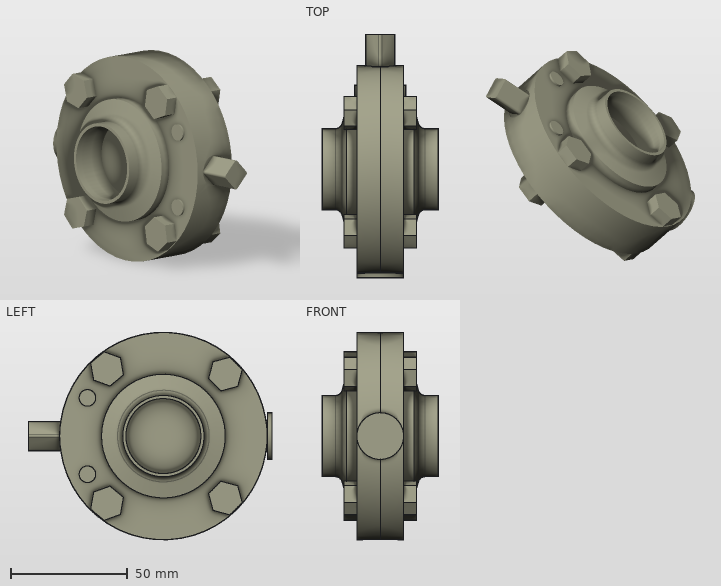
import cadquery as cq
import math


flange_radius = 44.5
flange_thickness = 10.0
hub_radius = 26.5
hub_end = 14.5
cone_angle = math.radians(15)
pipe_radius = 17.5
bore_radius = 16.1
pipe_end = 25.0
neck_fillet = 3.0

bolt_circle_radius = 37.6
bolt_angles = (50, -50, 135, -135)
bolt_head_flats = 13.0
bolt_head_height = 5.5
dowel_radius = 3.6
dowel_circle_radius = 36.5
dowel_angles = (26.7, -26.7)
dowel_height = 0.9

stem_radius = 6.7
drive_flats = 9.5
drive_edge_fillet = 0.99
stem_end = 57.9
square_start = flange_radius - 0.6
cap_radius = flange_thickness
cap_thickness = 2.0
cap_face = 104.5 - stem_end
disc_half_thickness = flange_thickness


def half_body_profile():
    """Half section in X (along the pipe) and Y (radius), as a closed outline."""
    slope = math.tan(cone_angle)
    fillet_radius_level = pipe_radius + neck_fillet
    cone_touch_radius = fillet_radius_level - neck_fillet * math.sin(cone_angle)
    cone_touch_x = hub_end + (hub_radius - cone_touch_radius) * slope
    fillet_centre_x = cone_touch_x + neck_fillet * math.cos(cone_angle)
    middle_angle = (math.pi / 2 + cone_angle) / 2
    fillet_middle = (
        fillet_centre_x - neck_fillet * math.cos(middle_angle),
        fillet_radius_level - neck_fillet * math.sin(middle_angle),
    )
    return (
        cq.Workplane("XY")
        .moveTo(0, bore_radius)
        .lineTo(0, flange_radius)
        .lineTo(flange_thickness, flange_radius)
        .lineTo(flange_thickness, hub_radius)
        .lineTo(hub_end, hub_radius)
        .lineTo(cone_touch_x, cone_touch_radius)
        .threePointArc(fillet_middle, (fillet_centre_x, pipe_radius))
        .lineTo(pipe_end, pipe_radius)
        .lineTo(pipe_end, bore_radius)
        .close()
    )


def place_on_circle(shape, radius, angle):
    """Move a shape out along +Y, then turn it about the pipe axis."""
    return shape.translate((0, radius, 0)).rotate((0, 0, 0), (1, 0, 0), angle)


def bolt_head():
    """Hexagonal head on the flange face, with one flat facing outwards."""
    across_corners = bolt_head_flats / math.cos(math.pi / 6)
    return (
        cq.Workplane("YZ", origin=(flange_thickness, 0, 0))
        .transformed(rotate=(0, 0, 30))
        .polygon(6, across_corners)
        .extrude(bolt_head_height)
    )


def dowel_head():
    return (
        cq.Workplane("YZ", origin=(flange_thickness, 0, 0))
        .circle(dowel_radius)
        .extrude(dowel_height)
    )


def stem_shaft(start, end):
    """Round shaft along Y between two Y positions."""
    return cq.Workplane("XZ", origin=(0, end, 0)).circle(stem_radius).extrude(end - start)


def half_body():
    """The +X half of the valve body, with its half of the stem bore."""
    half = half_body_profile().revolve(360, (0, 0, 0), (1, 0, 0))
    for angle in bolt_angles:
        half = half.union(place_on_circle(bolt_head(), bolt_circle_radius, angle))
    for angle in dowel_angles:
        half = half.union(place_on_circle(dowel_head(), dowel_circle_radius, angle))
    return half.cut(stem_shaft(-cap_face, stem_end))


def disc_and_stem():
    """Closing disc in the bore, with the stem through it, the square drive and the cap."""
    disc = (
        cq.Workplane("YZ", origin=(-disc_half_thickness, 0, 0))
        .circle(bore_radius)
        .extrude(2 * disc_half_thickness)
    )
    round_part = stem_shaft(-cap_face, square_start)
    drive = (
        cq.Workplane("XZ", origin=(0, stem_end, 0))
        .transformed(rotate=(0, 0, 45))
        .rect(drive_flats, drive_flats)
        .extrude(stem_end - square_start)
        .edges("|Y")
        .fillet(drive_edge_fillet)
    )
    cap = (
        cq.Workplane("XZ", origin=(0, cap_thickness - cap_face, 0))
        .circle(cap_radius)
        .extrude(cap_thickness)
    )
    return disc.union(round_part).union(drive).union(cap)


right_half = half_body()
left_half = right_half.mirror("YZ")
valve_disc = disc_and_stem()

result = cq.Compound.makeCompound([left_half.val(), right_half.val(), valve_disc.val()])